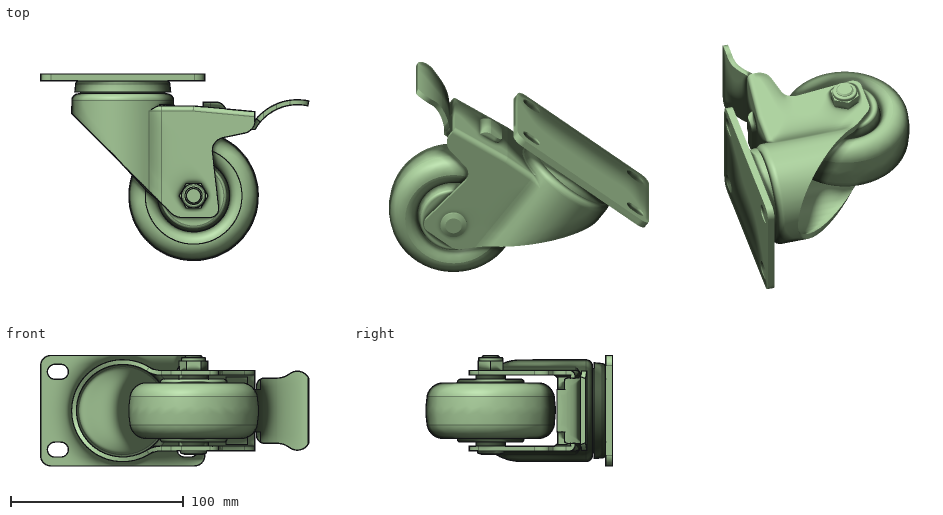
import cadquery as cq
import math


PLATE_LENGTH = 95.0
PLATE_WIDTH = 64.0
PLATE_THICKNESS = 4.0
PLATE_CORNER_RADIUS = 6.0
SLOT_PITCH_X = 75.0
SLOT_PITCH_Z = 45.0
SLOT_LENGTH = 12.0
SLOT_WIDTH = 8.5

RACE_TOP_RADIUS = 25.6
RACE_SHOULDER_RADIUS = 27.3
RACE_RIM_RADIUS = 27.8
RACE_NECK_RADIUS = 24.5
RACE_SHOULDER_DEPTH = 6.0
RACE_RIM_DEPTH = 10.6
RACE_ROUND = 2.2

AXLE_X = 41.0
AXLE_DEPTH = 70.5
WHEEL_RADIUS = 37.5
TREAD_EDGE_RADIUS = 36.8
TREAD_WIDTH = 16.4
TYRE_WIDTH = 32.2
HUB_RADIUS = 28.0
HUB_BOSS_RADIUS = 19.3
HUB_BOSS_WIDTH = 36.4
HUB_BOSS_ROUND = 1.8
HUB_GROOVE_RADIUS = 20.9
HUB_GROOVE_DEPTH = 5.0
HUB_GROOVE_WALL_RADIUS = 9.0

SLEEVE_RADIUS = 8.5
BOLT_RADIUS = 5.0
BOLT_TIP_Z = PLATE_WIDTH / 2
BOLT_TIP_CHAMFER = 0.85
BOLT_HEAD_RADIUS = 7.6
BOLT_HEAD_CROWN_RADIUS = 4.7
BOLT_HEAD_RIM = 1.2
BOLT_HEAD_HEIGHT = 2.2
NUT_ACROSS_FLATS = 14.4
NUT_HEX_HEIGHT = 5.4
NUT_HEIGHT = 7.6
NUT_COLLAR_RADIUS = 7.0
NUT_COLLAR_ROUND = 0.8

FORK_WALL = 2.75
FORK_TOP_DEPTH = 11.5
BELL_RADIUS = 29.5
BELL_ROUND = 4.0
BELL_SKIRT_DEPTH = 23.0
LEG_OUTER_Z = 23.25
LEG_INNER_Z = LEG_OUTER_Z - FORK_WALL
LEG_START_X = 22.3
LEG_BOTTOM_DEPTH = 83.0
LEG_FRONT_CORNER_RADIUS = 8.5
LEG_BACK_CORNER_RADIUS = 5.0
LEG_BACK_BOTTOM_X = 56.1
LEG_BACK_TOP_X = 51.1
BLEND_RADIUS = (LEG_START_X**2 + LEG_OUTER_Z**2 - BELL_RADIUS**2) / (2 * (BELL_RADIUS - LEG_OUTER_Z))
BLEND_CENTRE_Z = LEG_OUTER_Z + BLEND_RADIUS
BEVEL_AXIS_DEPTH = BELL_SKIRT_DEPTH + BELL_RADIUS
WEB_DEPTH = 18.5
WEB_END_X = 76.5
WEB_END_DEPTH = 21.8
WEB_EDGE_RADIUS = 3.0
WEB_BEND_RADIUS = 0.7
CUT_MARGIN = 1.0
THROAT_DEPTH = 38.4
THROAT_RADIUS = 7.5
HORN_DEPTH = 33.1
HORN_RADIUS = 7.5

PAD_START_X = 46.5
PAD_FLAT_END_X = 54.5
PAD_END_X = 60.0
PAD_TOP_DEPTH = 16.3
PAD_HALF_WIDTH = 10.0
PAD_CORNER_RADIUS = 4.4

LEVER_THICKNESS = 3.0
LEVER_OUTER_RADIUS = 31.0
LEVER_AXIS_X = 101.0
LEVER_AXIS_DEPTH = 45.9
LEVER_TIP_X = 107.7
PEDAL_SHOULDER_X = 77.3
PEDAL_SHOULDER_Z = 13.9
PEDAL_CORNER_X = 81.5
PEDAL_STRAIGHT_Z = 18.9
PEDAL_FLARE_START_X = 89.0
PEDAL_CREST_Z = 22.9
PEDAL_CREST_RADIUS = 7.3
NECK_HALF_WIDTH = 12.3
NECK_BOTTOM_DEPTH = 32.2
CARRIER_BOTTOM_DEPTH = 31.8
CARRIER_START_X = 59.8
CARRIER_END_X = 72.2
CARRIER_TOP_DEPTH = 26.3
CARRIER_HALF_WIDTH = 19.5


def prism_z(points):
    """Closed outline in X and Y, extruded past the whole width of the caster along Z."""
    return cq.Workplane("XY").polyline(points).close().extrude(PLATE_WIDTH / 2, both=True)


def block(x_start, x_end, top_depth, bottom_depth, half_width):
    size = (x_end - x_start, bottom_depth - top_depth, 2 * half_width)
    corner = (x_start, -bottom_depth, 0)
    return cq.Workplane("XY").box(*size, centered=(False, False, True)).translate(corner)


def round_corner(body, x, y, radius):
    """Rounds the Z edge at one corner of a prism."""
    return body.edges("|Z").edges(cq.NearestToPointSelector((x, y, 0))).fillet(radius)


def spin_on_axle(profile):
    """Turns a closed (radius, z) profile about the axle."""
    return profile.close().revolve(360, (0, 0, 0), (0, 1, 0)).rotate(
        (0, 0, 0), (1, 0, 0), 90).translate((AXLE_X, -AXLE_DEPTH, 0))


def axle_rod(radius, z_start, z_end):
    plane = cq.Workplane("XY", origin=(AXLE_X, -AXLE_DEPTH, z_start))
    return plane.circle(radius).extrude(z_end - z_start)


def make_plate():
    plate = cq.Workplane("XZ").rect(PLATE_LENGTH, PLATE_WIDTH).extrude(PLATE_THICKNESS)
    plate = plate.edges("|Y").fillet(PLATE_CORNER_RADIUS)
    slots = (
        cq.Workplane("XZ")
        .rarray(SLOT_PITCH_X, SLOT_PITCH_Z, 2, 2)
        .slot2D(SLOT_LENGTH, SLOT_WIDTH)
        .extrude(PLATE_THICKNESS)
    )
    return plate.cut(slots)


def make_race():
    return (
        cq.Workplane("XY")
        .moveTo(0, -PLATE_THICKNESS)
        .lineTo(RACE_TOP_RADIUS, -PLATE_THICKNESS)
        .radiusArc((RACE_SHOULDER_RADIUS, -RACE_SHOULDER_DEPTH), RACE_ROUND)
        .lineTo(RACE_RIM_RADIUS, -RACE_RIM_DEPTH)
        .lineTo(RACE_NECK_RADIUS, -RACE_RIM_DEPTH)
        .lineTo(RACE_NECK_RADIUS, -FORK_TOP_DEPTH)
        .lineTo(0, -FORK_TOP_DEPTH)
        .close()
        .revolve(360, (0, 0, 0), (0, 1, 0))
    )


def bell_form(inset):
    """Round head of the fork, drawn in from its outer surface by the inset."""
    height = LEG_BOTTOM_DEPTH - FORK_TOP_DEPTH
    plane = cq.Workplane("XZ", origin=(0, -FORK_TOP_DEPTH - inset, 0))
    bell = plane.circle(BELL_RADIUS - inset).extrude(height)
    return bell.faces(">Y").edges().fillet(BELL_ROUND - inset)


def channel_form(inset):
    """Legs and web as a solid channel blended into the bell, drawn in by the inset."""
    leg_z = LEG_OUTER_Z - inset
    blend_radius = BLEND_RADIUS + inset
    share = (BELL_RADIUS - inset) / (BELL_RADIUS + BLEND_RADIUS)
    tangent = (LEG_START_X * share, BLEND_CENTRE_Z * share)
    end_x = WEB_END_X + inset

    plan = (
        cq.Workplane("XZ")
        .moveTo(tangent[0], -tangent[1])
        .radiusArc((LEG_START_X, -leg_z), blend_radius)
        .lineTo(end_x, -leg_z)
        .lineTo(end_x, leg_z)
        .lineTo(LEG_START_X, leg_z)
        .radiusArc(tangent, blend_radius)
        .close()
        .extrude(LEG_BOTTOM_DEPTH + inset)
    )
    profile = prism_z([
        (0, -WEB_DEPTH - inset),
        (AXLE_X, -WEB_DEPTH - inset),
        (end_x, -WEB_END_DEPTH - inset),
        (end_x, -LEG_BOTTOM_DEPTH - inset),
        (0, -LEG_BOTTOM_DEPTH - inset),
    ])
    return plan.intersect(profile)


def web_edges(channel):
    """Long edges along both sides of the web."""
    half = PLATE_WIDTH / 2
    box = [cq.selectors.BoxSelector((LEG_START_X / 2, -WEB_END_DEPTH - 1, side * LEG_INNER_Z),
                          (WEB_END_X - 1, -WEB_DEPTH + 1, side * half)) for side in (-1, 1)]
    return channel.edges(box[0] + box[1])


def leg_profile():
    """Side outline that trims the legs and the web; the bell side is left full."""
    front_x = LEG_BOTTOM_DEPTH - BEVEL_AXIS_DEPTH
    profile = prism_z([
        (-BELL_RADIUS, 0),
        (-BELL_RADIUS, -LEG_BOTTOM_DEPTH),
        (LEG_START_X, -LEG_BOTTOM_DEPTH),
        (LEG_START_X, -BEVEL_AXIS_DEPTH - LEG_START_X),
        (front_x, -LEG_BOTTOM_DEPTH),
        (LEG_BACK_BOTTOM_X, -LEG_BOTTOM_DEPTH),
        (LEG_BACK_TOP_X, -THROAT_DEPTH),
        (WEB_END_X, -HORN_DEPTH),
        (WEB_END_X, 0),
    ])
    profile = round_corner(profile, front_x, -LEG_BOTTOM_DEPTH, LEG_FRONT_CORNER_RADIUS)
    profile = round_corner(profile, LEG_BACK_BOTTOM_X, -LEG_BOTTOM_DEPTH, LEG_BACK_CORNER_RADIUS)
    profile = round_corner(profile, LEG_BACK_TOP_X, -THROAT_DEPTH, THROAT_RADIUS)
    return round_corner(profile, WEB_END_X, -HORN_DEPTH, HORN_RADIUS)


def bevel_cutter(centre_x, centre_z, edge_radius, inner, outer, start, stop):
    """Space under the 45 degree edge along one arc of the sheet, cut square to the sheet.

    The edge keeps its depth across the sheet from the inner to the outer radius about the arc centre.
    """
    def rail(radius):
        def point(t):
            angle = start + (stop - start) * t
            depth = BEVEL_AXIS_DEPTH + centre_x + edge_radius * math.cos(angle)
            return (centre_x + radius * math.cos(angle), -depth, centre_z + radius * math.sin(angle))
        return cq.Workplane("XY").parametricCurve(point, makeWire=False).val()

    edge = cq.Face.makeRuledSurface(rail(inner), rail(outer))
    return cq.Workplane("XY").add(cq.Solid.extrudeLinear(edge, cq.Vector(0, -LEG_BOTTOM_DEPTH, 0)))


def bevel_cutters():
    """Cutters for the bell and for the blend on each side of it."""
    tangent_angle = math.atan2(BLEND_CENTRE_Z, LEG_START_X)
    cutters = [bevel_cutter(0, 0, BELL_RADIUS, BELL_RADIUS - FORK_WALL - CUT_MARGIN, BELL_RADIUS + CUT_MARGIN,
                            tangent_angle, 2 * math.pi - tangent_angle)]
    for side in (-1, 1):
        cutters.append(bevel_cutter(
            LEG_START_X, side * BLEND_CENTRE_Z, BLEND_RADIUS,
            BLEND_RADIUS - CUT_MARGIN, BLEND_RADIUS + FORK_WALL + CUT_MARGIN,
            -side * (math.pi - tangent_angle), -side * math.pi / 2))
    return cutters


def web_bend(inset):
    """Filler between the back of the bell and the web, with a concave face, drawn in by the inset."""
    wall = BELL_RADIUS - inset
    web = -WEB_DEPTH - inset
    radius = WEB_BEND_RADIUS + inset
    ring = (
        cq.Workplane("XY")
        .moveTo(wall, web)
        .lineTo(wall + radius, web)
        .radiusArc((wall, web + radius), radius)
        .close()
        .revolve(360, (0, 0, 0), (0, 1, 0))
    )
    return ring.intersect(block(0, WEB_END_X, 0, LEG_BOTTOM_DEPTH, LEG_INNER_Z))


def web_pad():
    pad = (
        cq.Workplane("XY")
        .moveTo(PAD_START_X, -PAD_TOP_DEPTH)
        .lineTo(PAD_FLAT_END_X, -PAD_TOP_DEPTH)
        .radiusArc((PAD_END_X, -WEB_END_DEPTH), PAD_END_X - PAD_FLAT_END_X + 1)
        .lineTo(PAD_START_X, -WEB_END_DEPTH)
        .close()
        .extrude(PAD_HALF_WIDTH, both=True)
    )
    return pad.edges("|Y and <X").fillet(PAD_CORNER_RADIUS)


def make_fork():
    channel = web_edges(channel_form(0)).fillet(WEB_EDGE_RADIUS)
    fork = bell_form(0).union(channel).union(web_bend(0)).union(web_pad())
    fork = fork.cut(bell_form(FORK_WALL)).cut(channel_form(FORK_WALL)).cut(web_bend(FORK_WALL))
    fork = fork.intersect(leg_profile())
    for cutter in bevel_cutters():
        fork = fork.cut(cutter)
    return fork.cut(axle_rod(BOLT_RADIUS, -LEG_OUTER_Z, LEG_OUTER_Z))


def make_tyre():
    half = TYRE_WIDTH / 2
    tread = TREAD_WIDTH / 2
    shoulder = half - tread
    profile = (
        cq.Workplane("XY")
        .moveTo(HUB_RADIUS, -half)
        .threePointArc((HUB_RADIUS + 0.72 * shoulder, -half + 0.3 * shoulder), (TREAD_EDGE_RADIUS, -tread))
        .threePointArc((WHEEL_RADIUS, 0), (TREAD_EDGE_RADIUS, tread))
        .threePointArc((HUB_RADIUS + 0.72 * shoulder, half - 0.3 * shoulder), (HUB_RADIUS, half))
    )
    return spin_on_axle(profile)


def make_hub():
    rim = TYRE_WIDTH / 2
    groove = rim - HUB_GROOVE_DEPTH
    boss = HUB_BOSS_WIDTH / 2
    round_z = boss - HUB_BOSS_ROUND
    crown = HUB_BOSS_RADIUS - HUB_BOSS_ROUND
    profile = (
        cq.Workplane("XY")
        .moveTo(SLEEVE_RADIUS, -boss)
        .lineTo(crown, -boss)
        .radiusArc((HUB_BOSS_RADIUS, -round_z), -HUB_BOSS_ROUND)
        .lineTo(HUB_GROOVE_RADIUS, -groove)
        .radiusArc((HUB_RADIUS, -rim), -HUB_GROOVE_WALL_RADIUS)
        .lineTo(HUB_RADIUS, rim)
        .radiusArc((HUB_GROOVE_RADIUS, groove), -HUB_GROOVE_WALL_RADIUS)
        .lineTo(HUB_BOSS_RADIUS, round_z)
        .radiusArc((crown, boss), -HUB_BOSS_ROUND)
        .lineTo(SLEEVE_RADIUS, boss)
    )
    return spin_on_axle(profile)


def make_sleeve():
    tube = axle_rod(SLEEVE_RADIUS, -LEG_INNER_Z, LEG_INNER_Z)
    return tube.cut(axle_rod(BOLT_RADIUS, -LEG_INNER_Z, LEG_INNER_Z))


def make_bolt():
    shank = axle_rod(BOLT_RADIUS, -LEG_OUTER_Z, BOLT_TIP_Z).faces(">Z").chamfer(BOLT_TIP_CHAMFER)
    rim_z = -LEG_OUTER_Z - BOLT_HEAD_RIM
    head_rim = axle_rod(BOLT_HEAD_RADIUS, rim_z, -LEG_OUTER_Z)
    crown = (
        head_rim.faces("<Z").workplane().circle(BOLT_HEAD_RADIUS)
        .workplane(offset=BOLT_HEAD_HEIGHT - BOLT_HEAD_RIM).circle(BOLT_HEAD_CROWN_RADIUS)
        .loft(combine=False)
    )
    return shank.union(head_rim).union(crown)


def make_nut():
    across_corners = NUT_ACROSS_FLATS / math.cos(math.pi / 6)
    plane = cq.Workplane("XY", origin=(AXLE_X, -AXLE_DEPTH, LEG_OUTER_Z))
    hexagon = plane.polygon(6, across_corners).extrude(NUT_HEX_HEIGHT)
    collar = plane.circle(NUT_COLLAR_RADIUS).extrude(NUT_HEIGHT)
    collar = collar.faces(">Z").edges().fillet(NUT_COLLAR_ROUND)
    return hexagon.union(collar).cut(axle_rod(BOLT_RADIUS, LEG_OUTER_Z, BOLT_TIP_Z))


def rolled_sheet():
    """Full ring of the lever sheet, as wide as the plate."""
    plane = cq.Workplane("XY", origin=(LEVER_AXIS_X, -LEVER_AXIS_DEPTH, 0))
    ring = plane.circle(LEVER_OUTER_RADIUS).circle(LEVER_OUTER_RADIUS - LEVER_THICKNESS)
    return ring.extrude(PLATE_WIDTH / 2, both=True)


def pedal_outline():
    """Pedal seen along Y: square shoulders flaring out to a rounded tip."""
    rise = PEDAL_CREST_Z - PEDAL_STRAIGHT_Z
    run = LEVER_AXIS_X - PEDAL_FLARE_START_X
    radius_sum = (run**2 + rise**2) / (2 * rise)
    crest_share = PEDAL_CREST_RADIUS / radius_sum
    flare_radius = radius_sum - PEDAL_CREST_RADIUS
    join = (LEVER_AXIS_X - run * crest_share, PEDAL_CREST_Z - rise * crest_share)
    tip_run = LEVER_TIP_X - LEVER_AXIS_X
    tip_z = PEDAL_CREST_Z - PEDAL_CREST_RADIUS + math.sqrt(PEDAL_CREST_RADIUS**2 - tip_run**2)
    corner = PEDAL_STRAIGHT_Z - PEDAL_SHOULDER_Z
    half = (
        cq.Workplane("XZ")
        .moveTo(PEDAL_SHOULDER_X, 0)
        .lineTo(PEDAL_SHOULDER_X, PEDAL_SHOULDER_Z)
        .radiusArc((PEDAL_CORNER_X, PEDAL_STRAIGHT_Z), corner)
        .lineTo(PEDAL_FLARE_START_X, PEDAL_STRAIGHT_Z)
        .radiusArc(join, -flare_radius)
        .radiusArc((LEVER_TIP_X, tip_z), PEDAL_CREST_RADIUS)
        .lineTo(LEVER_TIP_X, 0)
        .close()
        .extrude(LEVER_AXIS_DEPTH)
    )
    return half.union(half.mirror("XY"))


def make_lever():
    outer_run = LEVER_AXIS_X - PEDAL_SHOULDER_X
    outer_rise = math.sqrt(LEVER_OUTER_RADIUS**2 - outer_run**2)
    tip_run = LEVER_TIP_X - LEVER_AXIS_X
    tip_rise = math.sqrt(LEVER_OUTER_RADIUS**2 - tip_run**2)
    pedal_sector = prism_z([
        (LEVER_AXIS_X, -LEVER_AXIS_DEPTH),
        (LEVER_AXIS_X - 2 * outer_run, -LEVER_AXIS_DEPTH + 2 * outer_rise),
        (LEVER_AXIS_X + 2 * tip_run, -LEVER_AXIS_DEPTH + 2 * tip_rise),
    ])
    pedal = rolled_sheet().intersect(pedal_sector).intersect(pedal_outline())

    neck_top = LEVER_AXIS_DEPTH - outer_rise
    neck = rolled_sheet().intersect(
        block(CARRIER_END_X, PEDAL_CORNER_X, neck_top, NECK_BOTTOM_DEPTH, NECK_HALF_WIDTH))

    middle_radius = LEVER_OUTER_RADIUS - LEVER_THICKNESS / 2
    axis_drop = LEVER_AXIS_DEPTH - NECK_BOTTOM_DEPTH
    tongue_end_x = LEVER_AXIS_X - math.sqrt(middle_radius**2 - axis_drop**2)
    tongue_top = NECK_BOTTOM_DEPTH - LEVER_THICKNESS
    tongue = block(CARRIER_END_X, tongue_end_x, tongue_top, NECK_BOTTOM_DEPTH, NECK_HALF_WIDTH)

    carrier = block(
        CARRIER_START_X, CARRIER_END_X, CARRIER_TOP_DEPTH, CARRIER_BOTTOM_DEPTH, CARRIER_HALF_WIDTH)
    return pedal.union(neck).union(tongue).union(carrier)


plate = make_plate()
race = make_race()
fork = make_fork()
tyre = make_tyre()
hub = make_hub()
sleeve = make_sleeve()
bolt = make_bolt()
nut = make_nut()
lever = make_lever()

result = cq.Compound.makeCompound([
    plate.val(), race.val(), fork.val(), tyre.val(), hub.val(),
    sleeve.val(), bolt.val(), nut.val(), lever.val(),
])